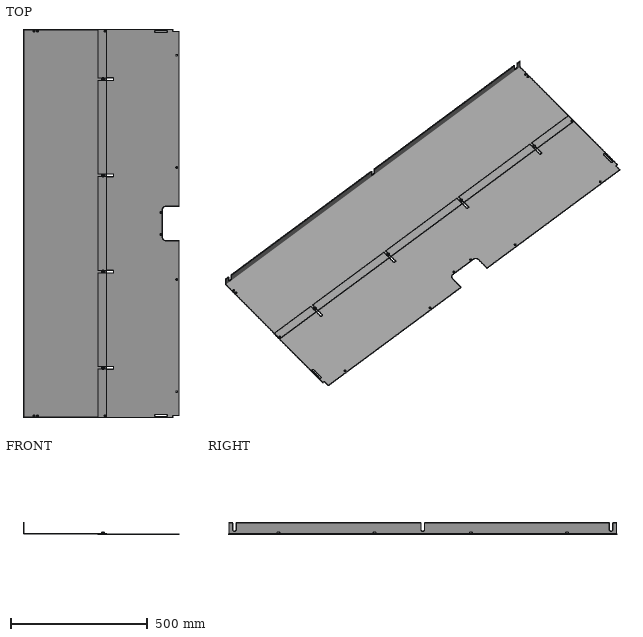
import cadquery as cq

length = 1421
width = 570.0
sheet = 2.0

upper_width = 304.0
upper_length = 1420.0
upper_bottom = sheet
upper_top = upper_bottom + sheet
flange_height = 41.0
flange_top = upper_bottom + flange_height
bend_radius = 3.0
flange_gap_width = 12.2
flange_gap_bottom = 11.0
flange_corner_radius = 3.0
end_tab_width = 14
hole_diameter = 5.5
corner_hole_inset = 5.0
flange_side_hole_places = [38.0, 51.0]

lower_left = 273.0
corner_step_length = 23.0
corner_step_depth = 7.0
mouth_depth = 61.0
mouth_width = 125.0
mouth_corner_radius = 13.0
mouth_hole_inset = 5.0
mouth_hole_spacing = 81.0
edge_hole_inset = 9.0
edge_hole_spacing = 410.0
edge_hole_count = 4
end_slot_left = 480.0
end_slot_length = 47.0
end_slot_width = 6.4
end_slot_inset = 7.0

screw_count = 4
screw_spacing = 352.0
screw_x = 291.0
shank_diameter = 6.4
head_diameter = 11.2
head_height = 4.0
head_rounding = 3.0
screw_slot_width = 8.7
screw_slot_end = 330.0


def row(count, spacing):
    """Evenly spaced places, centred on zero."""
    return [(index - (count - 1) / 2) * spacing for index in range(count)]


def box_between(x0, x1, y0, y1, z0, z1):
    """A box given by its limits along each axis."""
    return cq.Workplane("XY").box(x1 - x0, y1 - y0, z1 - z0, centered=False).translate((x0, y0, z0))


def through_cylinders(places, diameter):
    """Upright cylinders that span both sheets at the given places."""
    return cq.Workplane("XY").pushPoints(places).circle(diameter / 2).extrude(upper_top)


screw_rows = row(screw_count, screw_spacing)
screw_places = [(screw_x, y) for y in screw_rows]


def bent_sheet():
    """The L-shaped section, extruded along Y."""
    profile = (
        cq.Workplane("XZ")
        .moveTo(upper_width, upper_bottom)
        .lineTo(bend_radius, upper_bottom)
        .radiusArc((0, upper_bottom + bend_radius), bend_radius)
        .lineTo(0, flange_top)
        .lineTo(sheet, flange_top)
        .lineTo(sheet, upper_bottom + bend_radius)
        .radiusArc((bend_radius, upper_top), -(bend_radius - sheet))
        .lineTo(upper_width, upper_top)
        .close()
    )
    return profile.extrude(upper_length / 2, both=True)


def flange_gap(y):
    """A gap in the flange: open at the top, with a round bottom."""
    radius = flange_gap_width / 2
    round_centre = flange_gap_bottom + radius
    straight = box_between(0, sheet, y - radius, y + radius, round_centre, flange_top)
    bottom = cq.Workplane("YZ").center(y, round_centre).circle(radius).extrude(sheet)
    return straight.union(bottom)


def make_upper_panel():
    half = upper_length / 2
    panel = bent_sheet()

    end_gap_y = half - end_tab_width - flange_gap_width / 2
    for y in (-end_gap_y, 0, end_gap_y):
        panel = panel.cut(flange_gap(y))

    gap_corners = cq.selectors.BoxSelector(
        (-sheet, -half + sheet, flange_top - sheet), (2 * sheet, half - sheet, flange_top + sheet)
    )
    panel = panel.edges("|X").edges(gap_corners).fillet(flange_corner_radius)

    hole_y = half - corner_hole_inset
    hole_x = [*flange_side_hole_places, upper_width - corner_hole_inset]
    corner_holes = [(x, y) for x in hole_x for y in (-hole_y, hole_y)]
    panel = panel.cut(through_cylinders(corner_holes, hole_diameter))
    return panel.cut(through_cylinders(screw_places, shank_diameter))


def corner_step(end):
    """The notch at a corner of the free edge; end is -1 or 1."""
    step = cq.Workplane("XY").box(2 * corner_step_length, 2 * corner_step_depth, 2 * sheet)
    return step.translate((width, end * length / 2, 0))


def end_slot(end):
    """The round-ended slot along a short edge; end is -1 or 1."""
    centre_x = end_slot_left + end_slot_length / 2
    centre_y = end * (length / 2 - end_slot_inset)
    slot = cq.Workplane("XY").center(centre_x, centre_y).slot2D(end_slot_length, end_slot_width)
    return slot.extrude(sheet)


def mouth():
    """The cutout in the middle of the free edge, with rounded inner corners."""
    cutout = box_between(width - mouth_depth, width, -mouth_width / 2, mouth_width / 2, 0, sheet)
    return cutout.edges("|Z and <X").fillet(mouth_corner_radius)


def screw_slot(y):
    """A straight slot, open at the edge under the upper panel."""
    half_slot = screw_slot_width / 2
    return box_between(lower_left, screw_slot_end, y - half_slot, y + half_slot, 0, sheet)


def make_lower_panel():
    panel = box_between(lower_left, width, -length / 2, length / 2, 0, sheet)
    for end in (-1, 1):
        panel = panel.cut(corner_step(end)).cut(end_slot(end))
    panel = panel.cut(mouth())
    for y in screw_rows:
        panel = panel.cut(screw_slot(y))

    edge_holes = [(width - edge_hole_inset, y) for y in row(edge_hole_count, edge_hole_spacing)]
    mouth_hole_x = width - mouth_depth - mouth_hole_inset
    mouth_holes = [(mouth_hole_x, y) for y in row(2, mouth_hole_spacing)]
    return panel.cut(through_cylinders(edge_holes + mouth_holes, hole_diameter))


def make_screw(x, y):
    """A round-headed screw whose shank ends flush with the underside of the lower panel."""
    shank = cq.Workplane("XY").circle(shank_diameter / 2).extrude(upper_top)
    head = cq.Workplane("XY").workplane(offset=upper_top).circle(head_diameter / 2).extrude(head_height)
    head = head.faces(">Z").edges().fillet(head_rounding)
    return shank.union(head).translate((x, y, 0))


upper_panel = make_upper_panel()
lower_panel = make_lower_panel()
screws = [make_screw(x, y) for x, y in screw_places]

result = cq.Compound.makeCompound(
    [upper_panel.val(), lower_panel.val(), *[screw.val() for screw in screws]]
)